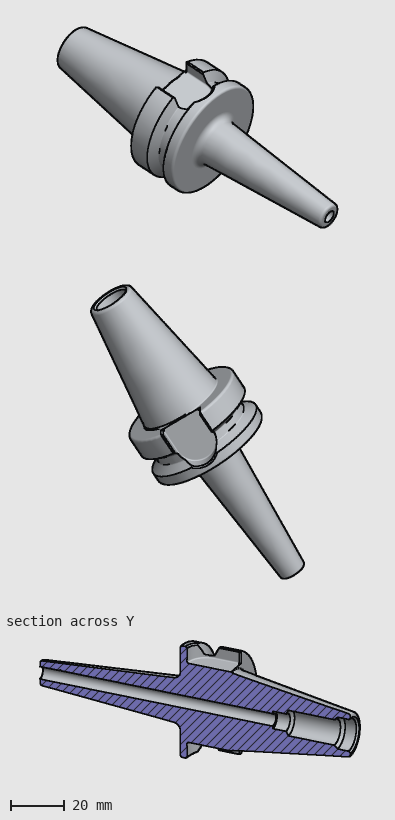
import cadquery as cq
import math

length = 128.4
flange_back = 49.3
flange_front = 70.5
nose_start = 73.5

taper_slope = 7 / 48
shank_end_radius = 8.9
shank_edge_radius = 1.3
flange_root_radius = 0.5

flange_radius = 23.0
flange_edge_radius = 1.0
groove_radius = 19.0
groove_floor_back = 60.2
groove_floor_front = 63.7
groove_flank_angle = 30
groove_corner_radius = 0.4

nose_root_radius = 9.2
nose_tip_radius = 5.1
nose_fillet = 2.8
nose_edge_radius = 1.2

slot_half_width = 8.0
slot_floor = 16.3
slot_end = 67.5
slot_floor_fillet = 0.5
slot_edge_chamfer = 0.6

bore_mouth_radius = 7.2
pilot_radius = 6.4
pilot_depth = 5.4
threaded_bore_radius = 5.1
threaded_bore_depth = 25.7
drill_radius = 3.5
drill_depth = 32.1
drill_point_angle = 118
through_radius = 2.5

cutter_overrun = 1.3
match_tolerance = 0.01


def round_ring(solid, x, ring_radius, fillet_radius):
    """Round the circular edge of the given radius that lies at the given X station."""

    def is_ring(edge):
        box = edge.BoundingBox()
        is_flat = box.xlen < match_tolerance
        is_at_station = abs(box.xmin - x) < match_tolerance
        return is_flat and is_at_station and abs(box.zmax - ring_radius) < match_tolerance

    rings = [edge for edge in solid.edges().vals() if is_ring(edge)]
    return solid.newObject(rings).fillet(fillet_radius)


def make_body():
    """Turned outside shape: shank, grooved flange and nose."""
    flank_run = (flange_radius - groove_radius) * math.tan(math.radians(groove_flank_angle))
    nose_slope = (nose_root_radius - nose_tip_radius) / (length - nose_start)
    nose_base_radius = nose_root_radius + nose_slope * (nose_start - flange_front)
    shank_root_radius = shank_end_radius + taper_slope * flange_back
    body = (
        cq.Workplane("XY")
        .moveTo(0, 0)
        .lineTo(0, shank_end_radius)
        .lineTo(flange_back, shank_root_radius)
        .lineTo(flange_back, flange_radius)
        .lineTo(groove_floor_back - flank_run, flange_radius)
        .lineTo(groove_floor_back, groove_radius)
        .lineTo(groove_floor_front, groove_radius)
        .lineTo(groove_floor_front + flank_run, flange_radius)
        .lineTo(flange_front, flange_radius)
        .lineTo(flange_front, nose_base_radius)
        .lineTo(length, nose_tip_radius)
        .lineTo(length, 0)
        .close()
        .revolve(360, (0, 0, 0), (1, 0, 0))
    )

    for x, ring_radius, fillet_radius in (
        (0, shank_end_radius, shank_edge_radius),
        (flange_back, shank_root_radius, flange_root_radius),
        (flange_back, flange_radius, flange_edge_radius),
        (groove_floor_back, groove_radius, groove_corner_radius),
        (groove_floor_front, groove_radius, groove_corner_radius),
        (flange_front, flange_radius, flange_edge_radius),
        (flange_front, nose_base_radius, nose_fillet),
        (length, nose_tip_radius, nose_edge_radius),
    ):
        body = round_ring(body, x, ring_radius, fillet_radius)
    return body


def make_slot_cutter():
    """Cutter for the upper drive slot: half-round end, rounded floor corners, bevelled back mouth."""
    floor_plane = cq.Workplane("XY").workplane(offset=slot_floor)
    cut_height = flange_radius - slot_floor + cutter_overrun
    slot_back = flange_back - cutter_overrun
    arc_start = slot_end - slot_half_width
    slot = (
        floor_plane.moveTo(slot_back, -slot_half_width)
        .lineTo(arc_start, -slot_half_width)
        .threePointArc((slot_end, 0), (arc_start, slot_half_width))
        .lineTo(slot_back, slot_half_width)
        .close()
        .extrude(cut_height)
    )
    slot = slot.faces("<Z").edges("not(<X)").fillet(slot_floor_fillet)

    mouth_half_width = slot_half_width + slot_edge_chamfer + cutter_overrun
    mouth_front = flange_back + slot_edge_chamfer
    mouth = (
        floor_plane.moveTo(slot_back, -mouth_half_width)
        .lineTo(mouth_front, -slot_half_width)
        .lineTo(mouth_front, slot_half_width)
        .lineTo(slot_back, mouth_half_width)
        .close()
        .extrude(cut_height)
    )
    return slot.union(mouth)


def make_bore_cutter():
    """Stepped bore that enters from the shank end and runs through as a small hole."""
    mouth_run = bore_mouth_radius - pilot_radius
    step_run = pilot_radius - threaded_bore_radius
    point_run = (threaded_bore_radius - drill_radius) / math.tan(math.radians(drill_point_angle / 2))
    return (
        cq.Workplane("XY")
        .moveTo(0, 0)
        .lineTo(0, bore_mouth_radius)
        .lineTo(mouth_run, pilot_radius)
        .lineTo(pilot_depth, pilot_radius)
        .lineTo(pilot_depth + step_run, threaded_bore_radius)
        .lineTo(threaded_bore_depth, threaded_bore_radius)
        .lineTo(threaded_bore_depth + point_run, drill_radius)
        .lineTo(drill_depth, drill_radius)
        .lineTo(drill_depth, through_radius)
        .lineTo(length, through_radius)
        .lineTo(length, 0)
        .close()
        .revolve(360, (0, 0, 0), (1, 0, 0))
    )


def bevel_slot_rims(solid):
    """Bevel the edges where the slot walls break through the outer surface of the flange."""

    def is_rim(edge):
        middle = edge.positionAt(0.5)
        is_on_rim = abs(math.hypot(middle.y, middle.z) - flange_radius) < match_tolerance
        is_straight_side = edge.BoundingBox().ylen < match_tolerance
        is_round_end = edge.geomType() not in ("LINE", "CIRCLE")
        is_in_slot = abs(middle.y) < slot_half_width + match_tolerance
        return is_on_rim and is_in_slot and (is_straight_side or is_round_end)

    rims = [edge for edge in solid.edges().vals() if is_rim(edge)]
    return solid.newObject(rims).chamfer(slot_edge_chamfer)


upper_slot = make_slot_cutter()
lower_slot = upper_slot.mirror("XY")
result = make_body().cut(upper_slot.union(lower_slot))
result = bevel_slot_rims(result)
result = result.cut(make_bore_cutter())